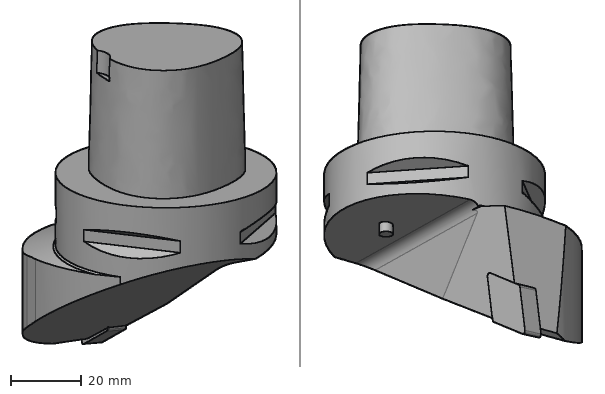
import cadquery as cq
import math


shank_height = 38.2
shank_base_radius = 22.0
shank_top_radius = 21.1
lobe_height = 1.3
curve_points = 48

notch_radius = 6.5
notch_depth = 6.7
notch_inner_y = -18.1

flange_radius = 31.5
flange_height = 22.2
groove_floor_distance = 27.9
groove_z = -11.8
groove_floor_width = 3.5
groove_flank_angle = 30

neck_radius = 32.1
neck_height = 0.5
cone_slope = 0.31
cone_end_radius = 61.8
head_bottom = -77.2
wall_start = (-44.8, -5.2)
wall_left_middle = (-34, -26.8)
wall_left_end = (-21.8, -34.9)
wall_corner_middle = (-19.0, -35.9)
wall_corner_end = (-15.9, -36.4)
wall_front_end = (-10.0, -36.4)
wall_right_middle = (7.4, -32.4)
wall_end = (20.6, -23.9)
side_corner_x = -41.2
side_corner_z = -25.2
side_draft_angle = 3
underside_angle = 31.5
underside_end_z = -17.3
nose_flat_x = -43.2
nose_flat_z = -61.1
nose_flat_angle = -29.4

head_back_y = 6.1
clearance_corner_z = -20.7
clearance_rise_angle = 5.5
clearance_fillet = 3.3

rake_y = 4.5
rake_x_slope = 0.12
rake_z_slope = 0.1

nozzle_diameter = 4.0
nozzle_x = 0
nozzle_y = 16.9
nozzle_bottom = -22.6

insert_tip_x = -45.1
insert_tip_z = -65.5
insert_edge = 15.5
insert_corner_angle = 55
insert_lower_edge_angle = 32
insert_nose_radius = 0.8
insert_thickness = 6.2

reach = 103


def y_on_rake(x, z):
    return rake_y + rake_x_slope * (x - side_corner_x) + rake_z_slope * (z - side_corner_z)


def rake_plane(x, z):
    """Plane on the rake face through (x, z); its local Y points down and its normal points out."""
    normal = (-rake_x_slope, 1, -rake_z_slope)
    return cq.Plane(origin=(x, y_on_rake(x, z), z), xDir=(1, rake_x_slope, 0), normal=normal)


def block_below(x, z, angle):
    """Block under a plane that passes through (x, z) and climbs toward +X at the given angle."""
    block = cq.Workplane("XY").box(2 * reach, 2 * reach, reach, centered=(True, True, False))
    block = block.translate((0, 0, -reach))
    return block.rotate((0, 0, 0), (0, 1, 0), -angle).translate((x, 0, z))


def lobed_point(mean_radius, turn):
    """Point on a three-lobed outline with one lobe toward +Y."""
    angle = 2 * math.pi * turn
    radius = mean_radius - lobe_height * math.sin(3 * angle)
    return (radius * math.cos(angle), radius * math.sin(angle))


def lobed_outline(workplane, mean_radius):
    points = [lobed_point(mean_radius, i / curve_points) for i in range(curve_points)]
    return workplane.spline(points, periodic=True).close()


def make_shank():
    shank = lobed_outline(cq.Workplane("XY"), shank_base_radius)
    shank = lobed_outline(shank.workplane(offset=shank_height), shank_top_radius).loft(ruled=True)
    notch = (
        cq.Workplane("XY", origin=(0, notch_inner_y - notch_radius, shank_height - notch_depth))
        .circle(notch_radius)
        .extrude(notch_depth)
    )
    return shank.cut(notch)


def make_groove(turn_angle):
    """Trapezoidal groove with a flat floor, widening outward through the flange rim."""
    depth = flange_radius - groove_floor_distance
    floor_half = groove_floor_width / 2
    rim_half = floor_half + depth * math.tan(math.radians(groove_flank_angle))
    return (
        cq.Workplane("XZ")
        .moveTo(groove_floor_distance, groove_z - floor_half)
        .lineTo(flange_radius, groove_z - rim_half)
        .lineTo(flange_radius, groove_z + rim_half)
        .lineTo(groove_floor_distance, groove_z + floor_half)
        .close()
        .extrude(flange_radius, both=True)
        .rotate((0, 0, 0), (0, 0, 1), turn_angle)
    )


def make_head_blank():
    """Offset side wall of the head, topped by a short neck and a shallow cone around the shank axis."""
    wall = (
        cq.Workplane("XY", origin=(0, 0, head_bottom))
        .moveTo(*wall_start)
        .threePointArc(wall_left_middle, wall_left_end)
        .threePointArc(wall_corner_middle, wall_corner_end)
        .lineTo(*wall_front_end)
        .threePointArc(wall_right_middle, wall_end)
        .lineTo(0, head_back_y)
        .lineTo(wall_start[0], head_back_y)
        .close()
        .extrude(-head_bottom)
    )
    cone_drop = (cone_end_radius - neck_radius) * cone_slope
    cone = (
        cq.Workplane("XZ")
        .moveTo(0, neck_height - flange_height)
        .lineTo(flange_radius, neck_height - flange_height)
        .lineTo(neck_radius, -flange_height)
        .lineTo(cone_end_radius, -flange_height - cone_drop)
        .lineTo(cone_end_radius, head_bottom)
        .lineTo(0, head_bottom)
        .close()
        .revolve(360, (0, 0, 0), (0, 1, 0))
    )
    return wall.intersect(cone)


def make_back_clearance():
    rise = (reach - head_back_y) * math.tan(math.radians(clearance_rise_angle))
    return (
        cq.Workplane("YZ", origin=(-reach, 0, 0))
        .moveTo(head_back_y, -reach)
        .lineTo(head_back_y, clearance_corner_z)
        .lineTo(reach, clearance_corner_z + rise)
        .lineTo(reach, -reach)
        .close()
        .extrude(2 * reach)
        .edges(cq.selectors.NearestToPointSelector((0, head_back_y, clearance_corner_z)))
        .fillet(clearance_fillet)
    )


def make_rake_clearance():
    """Block in front of the rake face, limited to the part of the head under the cone."""
    block = cq.Workplane(rake_plane(side_corner_x, side_corner_z)).rect(2 * reach, 2 * reach).extrude(reach)
    below_flange = block_below(0, -flange_height, 0)
    return block.intersect(below_flange)


def make_nozzle():
    length = clearance_corner_z - nozzle_bottom + nozzle_diameter
    return (
        cq.Workplane("XY", origin=(nozzle_x, nozzle_y, nozzle_bottom))
        .circle(nozzle_diameter / 2)
        .extrude(length)
    )


def make_insert():
    """Rhombic plate let into the head, flush with the rake face."""
    lower = math.radians(insert_lower_edge_angle)
    upper = math.radians(insert_lower_edge_angle + insert_corner_angle)
    lower_step = (insert_edge * math.cos(lower), -insert_edge * math.sin(lower))
    upper_step = (insert_edge * math.cos(upper), -insert_edge * math.sin(upper))
    far_corner = (lower_step[0] + upper_step[0], lower_step[1] + upper_step[1])
    plane = rake_plane(insert_tip_x, insert_tip_z)
    return (
        cq.Workplane(plane)
        .polyline([(0, 0), lower_step, far_corner, upper_step])
        .close()
        .extrude(-insert_thickness)
        .edges(cq.selectors.ParallelDirSelector(plane.zDir))
        .fillet(insert_nose_radius)
    )


def make_holder(insert):
    core = cq.Workplane("XY").circle(flange_radius).extrude(head_bottom)
    holder = core.union(make_head_blank())
    holder = holder.cut(make_back_clearance()).cut(make_rake_clearance())
    holder = holder.cut(block_below(flange_radius, underside_end_z, underside_angle))
    holder = holder.cut(block_below(nose_flat_x, nose_flat_z, nose_flat_angle))
    side_cut = block_below(side_corner_x, side_corner_z, -90 - side_draft_angle)
    holder = holder.cut(side_cut)
    for turn_angle in (45, 135, 225, 315):
        holder = holder.cut(make_groove(turn_angle))
    return holder.union(make_nozzle()).union(make_shank()).cut(insert)


insert = make_insert()
holder = make_holder(insert)
result = cq.Compound.makeCompound([holder.val(), insert.val()])